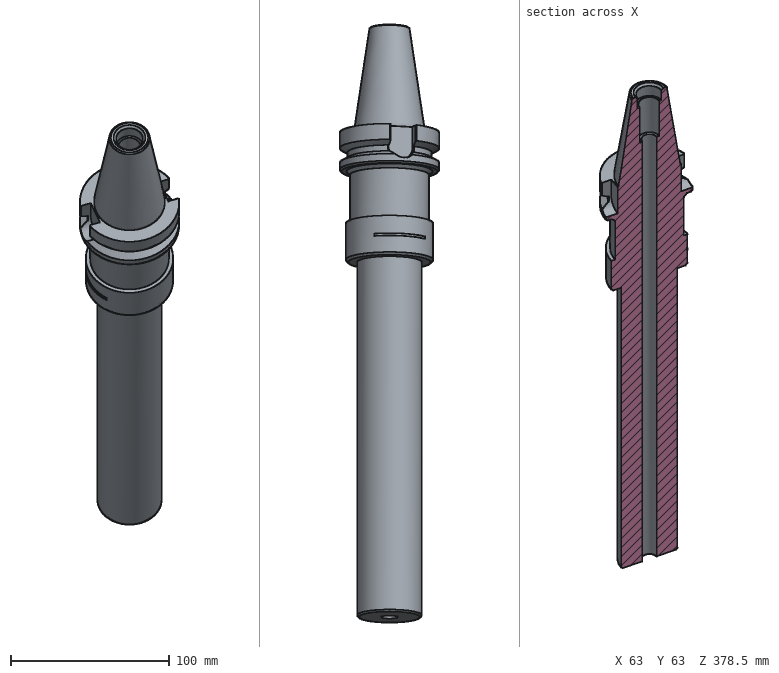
import cadquery as cq
import math

total_length = 378.5

taper_length = 65.5
taper_base_radius = 44.5 / 2
taper_ratio = 7 / 24
taper_top_radius = taper_base_radius - taper_length * taper_ratio / 2
shank_rim_radius = 23.5 / 2
shank_rim_height = 0.8
shank_step_height = 2.0
taper_base_z = total_length - taper_length
flange_top_z = taper_base_z - shank_step_height

flange_radius = 63.0 / 2
flange_height = 25.0
flange_bottom_z = flange_top_z - flange_height
flange_bottom_chamfer = 1.0
groove_floor_radius = 53.5 / 2
groove_center_drop = 16.5
groove_center_z = taper_base_z - groove_center_drop
groove_floor_half_width = 2.0
groove_flank_angle = 30
groove_flank_rise = (flange_radius - groove_floor_radius) * math.tan(math.radians(groove_flank_angle))
groove_mouth_half_width = groove_floor_half_width + groove_flank_rise

neck_radius = 50.0 / 2
neck_cone_height = 2.3

collar_radius = 55.2 / 2
collar_top_z = 252.8
collar_bottom_z = 227.8
collar_chamfer = 1.5

mark_z = 240.5
mark_width = 1.5
mark_depth = 0.5
mark_angle = 75

sleeve_radius = 41.0 / 2
sleeve_chamfer = 1.0

slot_width = 16.3
slot_floor_distance = 23.0
slot_bottom_z = 289.5
slot_edge_chamfer = 0.8

bore_diameter = 10.2
thread_diameter = 14.0
thread_depth = 38.0
pilot_diameter = 17.0
pilot_depth = 9.5
pilot_chamfer = 1.5


def turned_body():
    """Solid of revolution: shank, flange, neck, collar and sleeve."""
    outline = [
        (0, 0),
        (sleeve_radius - sleeve_chamfer, 0),
        (sleeve_radius, sleeve_chamfer),
        (sleeve_radius, collar_bottom_z),
        (collar_radius - collar_chamfer, collar_bottom_z),
        (collar_radius, collar_bottom_z + collar_chamfer),
        (collar_radius, collar_top_z),
        (neck_radius, collar_top_z),
        (neck_radius, flange_bottom_z - neck_cone_height),
        (neck_radius + neck_cone_height, flange_bottom_z),
        (flange_radius - flange_bottom_chamfer, flange_bottom_z),
        (flange_radius, flange_bottom_z + flange_bottom_chamfer),
        (flange_radius, groove_center_z - groove_mouth_half_width),
        (groove_floor_radius, groove_center_z - groove_floor_half_width),
        (groove_floor_radius, groove_center_z + groove_floor_half_width),
        (flange_radius, groove_center_z + groove_mouth_half_width),
        (flange_radius, flange_top_z),
        (taper_base_radius, flange_top_z),
        (taper_base_radius, taper_base_z),
        (taper_top_radius, total_length - shank_rim_height),
        (shank_rim_radius, total_length),
        (0, total_length),
    ]
    return cq.Workplane("XZ").polyline(outline).close().revolve(360, (0, 0), (0, 1))


def stepped_bore():
    """Through bore, wider thread core and chamfered pilot at the shank end."""
    pilot_radius = pilot_diameter / 2
    outline = [
        (0, 0),
        (bore_diameter / 2, 0),
        (bore_diameter / 2, total_length - thread_depth),
        (thread_diameter / 2, total_length - thread_depth),
        (thread_diameter / 2, total_length - pilot_depth),
        (pilot_radius, total_length - pilot_depth),
        (pilot_radius, total_length - pilot_chamfer),
        (pilot_radius + pilot_chamfer, total_length),
        (0, total_length),
    ]
    return cq.Workplane("XZ").polyline(outline).close().revolve(360, (0, 0), (0, 1))


def drive_slot():
    """Round-bottomed slot on the -Y side, open at the top of the flange."""
    half_width = slot_width / 2
    arc_center_z = slot_bottom_z + half_width
    return (
        cq.Workplane("XZ", origin=(0, -slot_floor_distance, 0))
        .moveTo(-half_width, flange_top_z)
        .lineTo(-half_width, arc_center_z)
        .threePointArc((0, slot_bottom_z), (half_width, arc_center_z))
        .lineTo(half_width, flange_top_z)
        .close()
        .extrude(flange_radius)
    )


def collar_mark():
    """Shallow groove part-way around the collar, centered on the -Y side."""
    section_width = 2 * mark_depth
    return (
        cq.Workplane("XZ")
        .center(collar_radius, mark_z)
        .rect(section_width, mark_width)
        .revolve(mark_angle, (-collar_radius, 0), (-collar_radius, 1))
        .rotate((0, 0, 0), (0, 0, 1), -90 - mark_angle / 2)
    )


def with_chamfered_slot_edges(body):
    """Bevel the Z edges where the slot walls meet the flange rim and the groove floor."""
    half_reach = slot_width / 2 + slot_edge_chamfer
    inner_reach = slot_floor_distance + slot_edge_chamfer
    for side in (-1, 1):
        wall_edges = cq.selectors.BoxSelector(
            (-half_reach, side * inner_reach, slot_bottom_z),
            (half_reach, side * flange_radius, flange_top_z),
        )
        body = body.edges("|Z").edges(wall_edges).chamfer(slot_edge_chamfer)
    return body


result = turned_body().cut(stepped_bore())
for turn in (0, 180):
    result = result.cut(drive_slot().rotate((0, 0, 0), (0, 0, 1), turn))
result = with_chamfered_slot_edges(result)
result = result.cut(collar_mark())